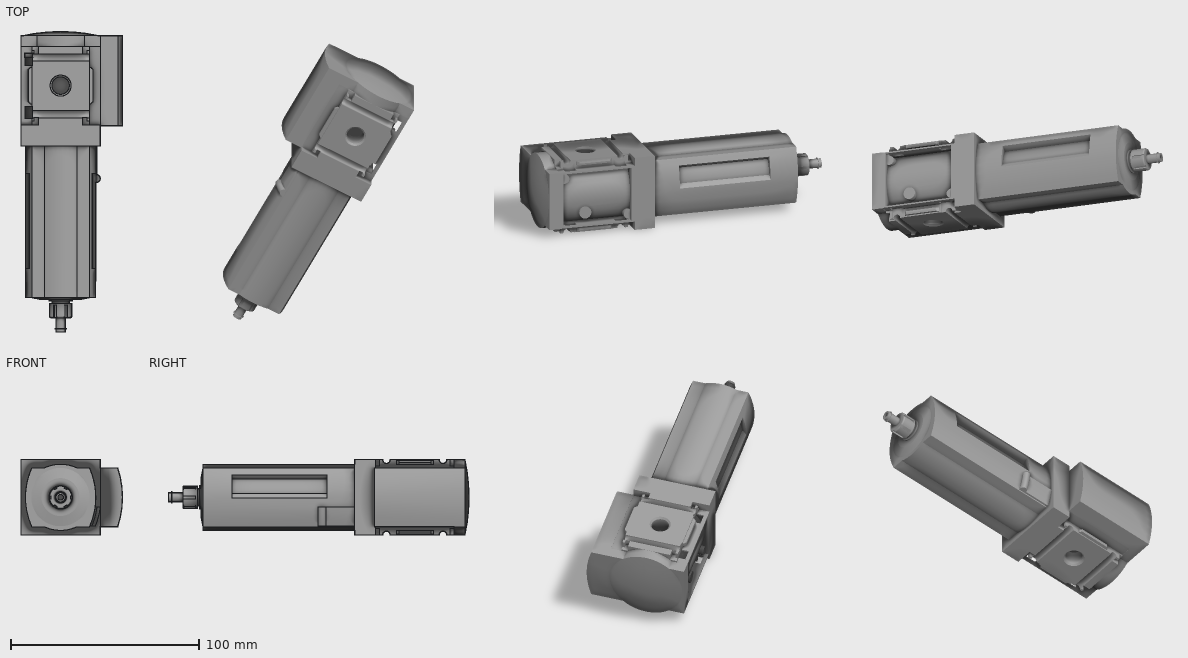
import cadquery as cq
import math


total_length = 159.7
dome_top = 60.8
drain_tip = total_length - dome_top

head_half_width = 21.1
head_half_height = 20.1
head_top = 58.6
cap_half_height = 15.7
shelf_half_height = 15.5
collar_top = 11.2
cap_bottom = 52.9
cap_radius = head_half_height
plate_half_width = 15.3

groove_radius = 1.9
groove_depth = 2.0
lower_groove_y = 17.0
upper_groove_y = 47.0

notch_inner_x = 11.7
notch_floor_z = 16.6
notch_reach = 4.0
post_width = 1.3
post_length = 1.9

ridge_reach = 1.9
ridge_length = 19.5
ridge_chamfer = 1.3
ridge_bottom_z = 17.5
ridge_top_z = 19.5
ridge_crown = 0.2
port_y = 32.1

port_diameter = 9.3
port_mouth_diameter = 11.2
port_depth = 9.6

window_half_height = 14.7
window_bottom = 13.1
window_top = 51.0
core_radius = 19.0
stud_face_x = -19.2
stud_root_x = -8.0
stud_diameter = 6.5
stud_y = 38.0
stud_z = -8.5
boss_radius = 2.5
lower_boss_y = 14.0
lower_boss_z = -11.5
upper_boss_y = 49.5
upper_boss_z = 11.3

slot_outer_x = -19.0
slot_inner_x = -14.9
slot_length = 6.4
lower_slot_y = 17.9
upper_slot_y = 46.0

cover_bottom = 10.7
cover_half_height = cap_half_height
cover_edge_x = 30.3
cover_crown_x = 32.9

bowl_length = 80.5
bowl_flat_half_height = cap_half_height
bowl_flat_half_width = plate_half_width
bowl_crown_half_width = 8.6
bowl_crown_z = 17.5
bowl_side_x = 18.7
bowl_end_radius = 15.5
bowl_end_flat_radius = 10.0
bowl_end_height = 1.1

pocket_start = 14.7
pocket_end = 65.2
pocket_floor_radius = 16.6
pocket_ledge = 0.3
pocket_mouth_low_z = -0.3
pocket_floor_low_z = 1.9
pocket_floor_high_z = 9.7
pocket_mouth_high_z = 12.0

latch_top_z = -5.1
latch_bottom_z = -15.2
latch_thickness = 1.0
latch_rib_radius = 2.0
latch_rib_offset = 0.6
latch_rib_y = -17.2
latch_length = latch_rib_radius - latch_rib_y

drain_flange_radius = 6.2
drain_flange_end = 82.2
drain_neck_radius = 4.6
knob_start = 83.5
knob_diameter = 12.0
knob_radius = knob_diameter / 2
knob_end = 91.2
knob_end_fillet = 0.8
knob_slot_count = 6
knob_slot_width = 1.6
knob_slot_depth = 0.8
knob_slot_start = 84.5
nozzle_diameter = 5.0
nozzle_radius = nozzle_diameter / 2
nozzle_bore_diameter = 3.0
nozzle_bore_depth = 8.0
barb_radius = 3.0
barb_start = 97.0
barb_end = 97.3


def block(x_range, y_range, z_range):
    """Box between the given limits along each axis."""
    size = [high - low for low, high in (x_range, y_range, z_range)]
    corner = (x_range[0], y_range[0], z_range[0])
    return cq.Workplane("XY").box(*size, centered=False).translate(corner)


def along_y(y):
    """Workplane at height y whose local axes are global X and Z; it extrudes toward -Y."""
    return cq.Workplane("XZ", origin=(0, y, 0))


def both_z_sides(shape):
    return shape.union(shape.mirror("XY"))


def both_x_sides(shape):
    return shape.union(shape.mirror("YZ"))


def head_blank():
    collar = block(
        (-head_half_width, head_half_width), (0, collar_top), (-head_half_height, head_half_height)
    )
    core_block = block(
        (-head_half_width, head_half_width), (0, cap_bottom), (-shelf_half_height, shelf_half_height)
    )
    cap_bar = block(
        (-head_half_width, head_half_width), (cap_bottom, head_top), (-cap_half_height, cap_half_height)
    )
    plates = block(
        (-plate_half_width, plate_half_width), (0, cap_bottom), (-head_half_height, head_half_height)
    )
    cap = along_y(head_top).circle(cap_radius).extrude(head_top - cap_bottom)
    dome = (
        cq.Workplane("XY")
        .moveTo(0, head_top)
        .lineTo(cap_radius, head_top)
        .threePointArc(dome_midpoint(), (0, dome_top))
        .close()
        .revolve(360, (0, 0, 0), (0, 1, 0))
    )
    return collar.union(core_block).union(plates).union(cap_bar).union(cap).union(dome)


def dome_midpoint():
    """Point halfway along the arc from the dome's rim to its top."""
    rise = dome_top - head_top
    sphere_radius = (cap_radius**2 + rise**2) / (2 * rise)
    half_angle = math.asin(cap_radius / sphere_radius) / 2
    sphere_center_y = dome_top - sphere_radius
    return (sphere_radius * math.sin(half_angle), sphere_center_y + sphere_radius * math.cos(half_angle))


def plate_grooves():
    centers = [(y, head_half_height - groove_depth + groove_radius) for y in (lower_groove_y, upper_groove_y)]
    grooves = cq.Workplane("YZ").pushPoints(centers).circle(groove_radius).extrude(head_half_width, both=True)
    return both_z_sides(grooves)


def corner_notch(outer_y, direction):
    """Notch at one plate corner, running from outer_y in the given Y direction, around its post."""
    inner_y = outer_y + direction * notch_reach
    post_outer_y = inner_y - direction * post_length
    z_range = (notch_floor_z, head_half_height)
    pocket = block((notch_inner_x, plate_half_width), sorted((outer_y, inner_y)), z_range)
    post = block((plate_half_width - post_width, plate_half_width), sorted((post_outer_y, inner_y)), z_range)
    return both_x_sides(both_z_sides(pocket.cut(post)))


def plate_ridges():
    """Ridges with a slightly crowned outer side, chamfered at both ends."""
    outer_x = plate_half_width + ridge_reach
    ridge = (
        along_y(port_y + ridge_length / 2)
        .moveTo(plate_half_width, ridge_bottom_z)
        .lineTo(outer_x - ridge_crown, ridge_bottom_z)
        .lineTo(outer_x, (ridge_bottom_z + ridge_top_z) / 2)
        .lineTo(outer_x - ridge_crown, ridge_top_z)
        .lineTo(plate_half_width, ridge_top_z)
        .close()
        .extrude(ridge_length)
    )
    ends = (
        block(
            (plate_half_width, outer_x),
            (port_y - ridge_length / 2, port_y + ridge_length / 2),
            (ridge_bottom_z, ridge_top_z),
        )
        .edges("|Z and >X")
        .chamfer(ridge_chamfer)
    )
    return both_x_sides(both_z_sides(ridge.intersect(ends)))


def ports():
    mouth_depth = (port_mouth_diameter - port_diameter) / 2
    top = cq.Workplane("XY", origin=(0, port_y, head_half_height))
    bore = top.circle(port_diameter / 2).extrude(-port_depth)
    mouth = (
        top.circle(port_mouth_diameter / 2)
        .workplane(offset=-mouth_depth)
        .circle(port_diameter / 2)
        .loft()
    )
    return both_z_sides(bore.union(mouth))


def side_window():
    opening = block(
        (-head_half_width, 0), (window_bottom, window_top), (-window_half_height, window_half_height)
    )
    core = along_y(window_top).circle(core_radius).extrude(window_top - window_bottom)
    return opening.cut(core)


def window_studs():
    """Round stud and two rounded corner bosses that stand out of the core to one flat level."""
    face = cq.Workplane("YZ", origin=(stud_face_x, 0, 0))
    reach = stud_root_x - stud_face_x
    stud = face.center(stud_y, stud_z).circle(stud_diameter / 2).extrude(reach)
    bosses = (
        face.pushPoints([(lower_boss_y, lower_boss_z), (upper_boss_y, upper_boss_z)])
        .circle(boss_radius)
        .extrude(reach)
    )
    x_range = (stud_face_x, stud_root_x)
    lower_corner = block(x_range, (window_bottom, lower_boss_y), (-window_half_height, lower_boss_z))
    upper_corner = block(x_range, (upper_boss_y, window_top), (upper_boss_z, window_half_height))
    return stud.union(bosses).union(lower_corner).union(upper_corner)


def shelf_slots():
    slots = cq.Workplane("XY")
    for y in (lower_slot_y, upper_slot_y):
        slots = slots.union(
            block(
                (slot_outer_x, slot_inner_x),
                (y - slot_length / 2, y + slot_length / 2),
                (window_half_height, head_half_height),
            )
        )
    return both_z_sides(slots)


def make_head():
    head = head_blank().cut(plate_grooves()).union(plate_ridges())
    head = head.cut(corner_notch(collar_top, 1)).cut(corner_notch(cap_bottom, -1))
    head = head.cut(side_window()).union(window_studs()).cut(shelf_slots())
    return head.cut(ports())


side_sagitta = bowl_side_x - bowl_flat_half_width
side_radius = (bowl_flat_half_height**2 + side_sagitta**2) / (2 * side_sagitta)
side_center_x = bowl_side_x - side_radius


def bowl_shell():
    profile = (
        along_y(0)
        .moveTo(bowl_flat_half_width, -bowl_flat_half_height)
        .threePointArc((bowl_side_x, 0), (bowl_flat_half_width, bowl_flat_half_height))
        .lineTo(bowl_crown_half_width, bowl_flat_half_height)
        .threePointArc((0, bowl_crown_z), (-bowl_crown_half_width, bowl_flat_half_height))
        .lineTo(-bowl_flat_half_width, bowl_flat_half_height)
        .threePointArc((-bowl_side_x, 0), (-bowl_flat_half_width, -bowl_flat_half_height))
        .lineTo(-bowl_crown_half_width, -bowl_flat_half_height)
        .threePointArc((0, -bowl_crown_z), (bowl_crown_half_width, -bowl_flat_half_height))
        .close()
    )
    return profile.extrude(bowl_length)


def sight_pockets():
    def floor_x(z):
        return math.sqrt(pocket_floor_radius**2 - z**2)

    def mouth_x(z):
        return side_center_x + math.sqrt(side_radius**2 - z**2)

    floor_low = (floor_x(pocket_floor_low_z), pocket_floor_low_z)
    floor_high = (floor_x(pocket_floor_high_z), pocket_floor_high_z)
    floor_middle_z = (pocket_floor_low_z + pocket_floor_high_z) / 2
    pocket = (
        along_y(-pocket_start)
        .moveTo(*floor_low)
        .threePointArc((floor_x(floor_middle_z), floor_middle_z), floor_high)
        .lineTo(mouth_x(pocket_mouth_high_z), pocket_mouth_high_z)
        .lineTo(head_half_width, pocket_mouth_high_z)
        .lineTo(head_half_width, pocket_mouth_low_z)
        .lineTo(mouth_x(pocket_mouth_low_z), pocket_mouth_low_z)
        .lineTo(floor_low[0] + pocket_ledge, pocket_floor_low_z)
        .close()
        .extrude(pocket_end - pocket_start)
    )
    return both_x_sides(pocket)


def latch():
    """Thin plate that follows the bowl's side, ending in a round cross rib."""
    plate = (
        along_y(0)
        .center(side_center_x, 0)
        .circle(side_radius + latch_thickness)
        .extrude(latch_length)
    )
    rib = (
        cq.Workplane("XY")
        .center(side_center_x, 0)
        .moveTo(side_radius + latch_rib_offset, latch_rib_y)
        .circle(latch_rib_radius)
        .revolve(360, (0, 0, 0), (0, 1, 0))
    )
    limits = block(
        (0, head_half_width),
        (-latch_length, 0),
        (latch_bottom_z, latch_top_z),
    )
    return plate.union(rib).intersect(limits)


def drain():
    """Turned end of the bowl: shallow cone, flange, neck, knob and hose nozzle."""
    return (
        cq.Workplane("XY")
        .moveTo(0, -bowl_length)
        .lineTo(bowl_end_radius, -bowl_length)
        .lineTo(bowl_end_flat_radius, -bowl_length - bowl_end_height)
        .lineTo(drain_flange_radius, -bowl_length - bowl_end_height)
        .lineTo(drain_flange_radius, -drain_flange_end)
        .lineTo(drain_neck_radius, -drain_flange_end)
        .lineTo(drain_neck_radius, -knob_start)
        .lineTo(knob_radius, -knob_start)
        .lineTo(knob_radius, -knob_end + knob_end_fillet)
        .radiusArc((knob_radius - knob_end_fillet, -knob_end), knob_end_fillet)
        .lineTo(nozzle_radius, -knob_end)
        .lineTo(nozzle_radius, -barb_start)
        .lineTo(barb_radius, -barb_start)
        .lineTo(barb_radius, -barb_end)
        .lineTo(nozzle_radius, -barb_end)
        .lineTo(nozzle_radius, -drain_tip)
        .lineTo(0, -drain_tip)
        .close()
        .revolve(360, (0, 0, 0), (0, 1, 0))
    )


def knob_slots():
    slot = block(
        (knob_radius - knob_slot_depth, knob_radius + knob_slot_depth),
        (-knob_end, -knob_slot_start),
        (-knob_slot_width / 2, knob_slot_width / 2),
    )
    slots = cq.Workplane("XY")
    for index in range(knob_slot_count):
        slots = slots.union(slot.rotate((0, 0, 0), (0, 1, 0), index * 360 / knob_slot_count))
    return slots


def nozzle_bore():
    return along_y(-drain_tip).circle(nozzle_bore_diameter / 2).extrude(-nozzle_bore_depth)


def make_bowl():
    bowl = bowl_shell().union(latch()).cut(sight_pockets())
    return bowl.union(drain()).cut(knob_slots()).cut(nozzle_bore())


def make_housing():
    return make_head().union(make_bowl())


def make_cover():
    """Cover flat against the +X side of the head, with a crowned outer face."""
    return (
        along_y(head_top)
        .moveTo(head_half_width, -cover_half_height)
        .lineTo(cover_edge_x, -cover_half_height)
        .threePointArc((cover_crown_x, 0), (cover_edge_x, cover_half_height))
        .lineTo(head_half_width, cover_half_height)
        .close()
        .extrude(head_top - cover_bottom)
    )


housing = make_housing()
cover = make_cover()
result = cq.Compound.makeCompound([housing.val(), cover.val()])